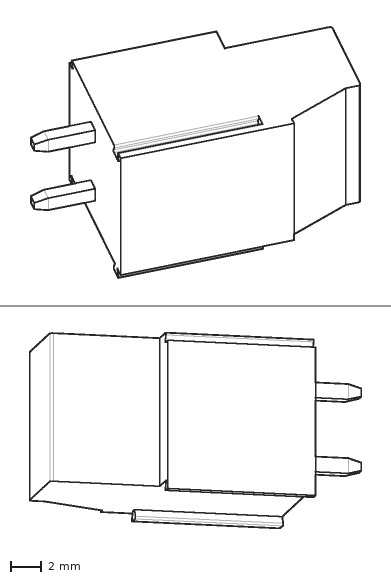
import cadquery as cq
import math

total_length = 21.6
pole_count = 2
housing_width = 11.2
housing_height = 10.0
housing_length = 17.4
pitch = housing_height / pole_count

left_step_width = 2.4
left_step_length = 10.0
right_shoulder_length = 12.0
slope_start_x = 10.71
nose_right_x = 8.77
slope_end_y = 16.35
nose_edge_radius = 0.2

joint_length = left_step_length
joint_depth = 0.65
flank_angle = 30.0
right_joint_x = 10.22
left_joint_x = 0.15
groove_neck_half_width = 0.28
ridge_neck_half_width = 0.25
joint_edge_radius = 0.1

pin_x = 5.18
pin_width = 0.93
pin_height = 1.04
pin_length = total_length - housing_length
pin_tip_length = 0.93
pin_tip_width = 0.75
pin_tip_height = 0.55

flank_slope = math.tan(math.radians(flank_angle))


def make_housing():
    outline = [
        (0, 0),
        (housing_width, 0),
        (housing_width, right_shoulder_length),
        (slope_start_x, right_shoulder_length),
        (nose_right_x, slope_end_y),
        (nose_right_x, housing_length),
        (left_step_width, housing_length),
        (left_step_width, left_step_length),
        (0, left_step_length),
    ]
    block = cq.Workplane("XY").polyline(outline).close().extrude(housing_height)
    return block.faces(">Y").edges("|Z").fillet(nose_edge_radius)


def dovetail(center_x, top_z, neck_half_width):
    """Prism hanging down from top_z: flaring flanks and rounded lower edges."""
    tail_half_width = neck_half_width + joint_depth * flank_slope
    outline = [
        (-neck_half_width, 0),
        (neck_half_width, 0),
        (tail_half_width, -joint_depth),
        (-tail_half_width, -joint_depth),
    ]
    prism = (
        cq.Workplane("XZ", origin=(center_x, 0, top_z))
        .polyline(outline)
        .close()
        .extrude(-joint_length)
    )
    return prism.faces("<Z").edges("|Y").fillet(joint_edge_radius)


def ridge(center_x):
    return dovetail(center_x, 0, ridge_neck_half_width)


def groove_mouth(center_x):
    """Prism that widens the groove at the top face, leaving both of its lips rounded."""
    lip_angle = math.radians(90 - flank_angle)
    mouth_half_width = groove_neck_half_width + joint_edge_radius / math.tan(lip_angle / 2)
    reach_x = joint_edge_radius * math.sin(lip_angle)
    reach_z = joint_edge_radius * math.cos(lip_angle)
    flank_x = mouth_half_width - reach_x
    flank_z = -joint_edge_radius - reach_z
    arc_angle = (math.pi - lip_angle) / 2
    arc_x = mouth_half_width - joint_edge_radius * math.sin(arc_angle)
    arc_z = joint_edge_radius * (math.cos(arc_angle) - 1)
    return (
        cq.Workplane("XZ", origin=(center_x, 0, housing_height))
        .moveTo(-mouth_half_width, 0)
        .lineTo(mouth_half_width, 0)
        .threePointArc((arc_x, arc_z), (flank_x, flank_z))
        .lineTo(-flank_x, flank_z)
        .threePointArc((-arc_x, arc_z), (-mouth_half_width, 0))
        .close()
        .extrude(-joint_length)
    )


def groove(center_x):
    """Dovetail channel with rounded lips."""
    channel = dovetail(center_x, housing_height, groove_neck_half_width)
    return channel.union(groove_mouth(center_x))


def left_of_joint(top_z):
    """Block from the left face to the middle of the left joint, as deep as the joint."""
    size = (left_joint_x, joint_length, joint_depth)
    return cq.Workplane("XY").box(*size, centered=False).translate((0, 0, top_z - joint_depth))


def outside_housing():
    """Space left of the left face, where the left ridge must not stick out."""
    size = (housing_width, joint_length, joint_depth)
    return cq.Workplane("XY").box(*size, centered=False).translate((-housing_width, 0, -joint_depth))


def pin(center_z):
    shank_length = pin_length - pin_tip_length
    shank = (
        cq.Workplane("XZ", origin=(pin_x, 0, center_z))
        .rect(pin_width, pin_height)
        .extrude(shank_length)
    )
    tip = (
        cq.Workplane("XZ", origin=(pin_x, -shank_length, center_z))
        .rect(pin_width, pin_height)
        .workplane(offset=pin_tip_length)
        .rect(pin_tip_width, pin_tip_height)
        .loft(ruled=True)
    )
    return shank.union(tip)


result = make_housing()

for joint_x in (left_joint_x, right_joint_x):
    result = result.cut(groove(joint_x)).union(ridge(joint_x))

result = result.cut(left_of_joint(housing_height))
result = result.union(left_of_joint(0)).cut(outside_housing())

for pole in range(pole_count):
    result = result.union(pin((pole + 0.5) * pitch))